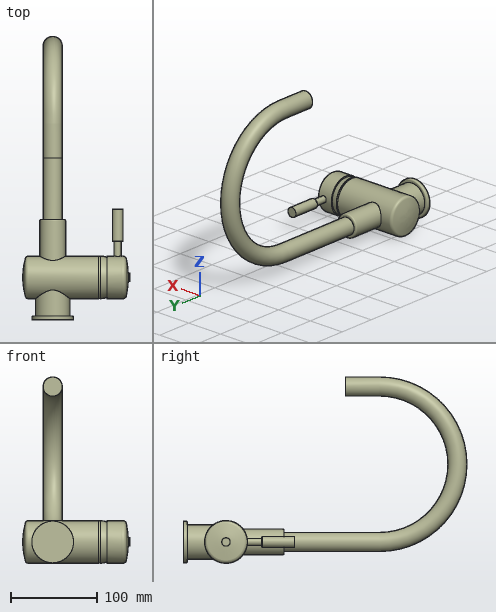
import cadquery as cq


BARREL_RADIUS = 49.8 / 2
END_RIM_RADIUS = 21.8
DOME_TIP_X = -35.0
DOME_RIM_X = -32.0
EDGE_START_X = -28.0

GROOVE_START_X = 53.5
GROOVE_END_X = 55.5
GROOVE_DEPTH = 0.15
NECK_START_X = 56.0
NECK_DROP = 1.5

CAP_START_X = 63.3
CAP_EDGE_X = 80.5
CAP_RIM_X = 85.7
CAP_TIP_X = 88.0
BUTTON_RADIUS = 5.0
BUTTON_END_X = 89.7
LEVER_X = 75.5
STEM_RADIUS = 4.3
GRIP_RADIUS = 12.5 / 2
GRIP_START_Y = 41.5
GRIP_END_Y = 79.5
GRIP_CHAMFER = 0.5

INLET_RADIUS = 20.0
FLANGE_RADIUS = 48.5 / 2
FLANGE_FACE_Y = -49.5
FLANGE_THICKNESS = 4.5
FLANGE_FILLET = 1.5
SLEEVE_RADIUS = 15.2
SLEEVE_END_Y = 67.5
SLEEVE_FILLET = 2.0

TUBE_RADIUS = 11.2
BEND_RADIUS = 90.3
BEND_START_Y = 178.7
OUTLET_LENGTH = 40.0


def rod_along_y(x, start_y, end_y, radius):
    """Round rod parallel to Y, at the height of the barrel axis."""
    plane = cq.Plane(origin=(x, start_y, 0), xDir=(1, 0, 0), normal=(0, 1, 0))
    return cq.Workplane(plane).circle(radius).extrude(end_y - start_y)


def turn_about_x(profile):
    """Turn a closed XY profile into a round solid about the X axis."""
    return profile.close().revolve(360, (0, 0, 0), (1, 0, 0))


def mid_dome(rim_x, tip_x):
    """Point halfway out on a shallow dome, where 3/4 of its rise is reached."""
    return (rim_x + 0.75 * (tip_x - rim_x), END_RIM_RADIUS / 2)


def mid_edge(start_x, rim_x):
    """Middle of the rounded edge between barrel and dome."""
    bulge = 0.7
    return (
        start_x + bulge * (rim_x - start_x),
        END_RIM_RADIUS + bulge * (BARREL_RADIUS - END_RIM_RADIUS),
    )


def make_barrel():
    neck_middle = ((NECK_START_X + CAP_START_X) / 2, BARREL_RADIUS - NECK_DROP / 4)
    profile = (
        cq.Workplane("XY")
        .moveTo(DOME_TIP_X, 0)
        .threePointArc(mid_dome(DOME_RIM_X, DOME_TIP_X), (DOME_RIM_X, END_RIM_RADIUS))
        .threePointArc(mid_edge(EDGE_START_X, DOME_RIM_X), (EDGE_START_X, BARREL_RADIUS))
        .lineTo(GROOVE_START_X, BARREL_RADIUS)
        .lineTo(GROOVE_START_X, BARREL_RADIUS - GROOVE_DEPTH)
        .lineTo(GROOVE_END_X, BARREL_RADIUS - GROOVE_DEPTH)
        .lineTo(GROOVE_END_X, BARREL_RADIUS)
        .lineTo(NECK_START_X, BARREL_RADIUS)
        .threePointArc(neck_middle, (CAP_START_X, BARREL_RADIUS - NECK_DROP))
        .lineTo(CAP_START_X, 0)
    )
    return turn_about_x(profile)


def make_flange():
    flange = rod_along_y(0, FLANGE_FACE_Y, FLANGE_FACE_Y + FLANGE_THICKNESS, FLANGE_RADIUS)
    return flange.faces(">Y").edges().fillet(FLANGE_FILLET)


def make_housing():
    inlet = rod_along_y(0, FLANGE_FACE_Y, 0, INLET_RADIUS)
    sleeve = rod_along_y(0, 0, SLEEVE_END_Y, SLEEVE_RADIUS)
    sleeve = sleeve.faces(">Y").edges().fillet(SLEEVE_FILLET)
    return make_barrel().union(inlet).union(make_flange()).union(sleeve)


def make_spout():
    """Tube that leaves the sleeve, turns back through a half circle and ends above."""
    outlet_y = BEND_START_Y - OUTLET_LENGTH
    path = (
        cq.Workplane("YZ")
        .moveTo(SLEEVE_END_Y, 0)
        .lineTo(BEND_START_Y, 0)
        .threePointArc((BEND_START_Y + BEND_RADIUS, BEND_RADIUS), (BEND_START_Y, 2 * BEND_RADIUS))
        .lineTo(outlet_y, 2 * BEND_RADIUS)
    )
    plane = cq.Plane(origin=(0, SLEEVE_END_Y, 0), xDir=(1, 0, 0), normal=(0, 1, 0))
    return cq.Workplane(plane).circle(TUBE_RADIUS).sweep(path)


def make_cap():
    profile = (
        cq.Workplane("XY")
        .moveTo(CAP_START_X, 0)
        .lineTo(CAP_START_X, BARREL_RADIUS)
        .lineTo(CAP_EDGE_X, BARREL_RADIUS)
        .threePointArc(mid_edge(CAP_EDGE_X, CAP_RIM_X), (CAP_RIM_X, END_RIM_RADIUS))
        .threePointArc(mid_dome(CAP_RIM_X, CAP_TIP_X), (CAP_TIP_X, 0))
    )
    return turn_about_x(profile)


def make_handle():
    button = (
        cq.Workplane("YZ", origin=(CAP_EDGE_X, 0, 0))
        .circle(BUTTON_RADIUS)
        .extrude(BUTTON_END_X - CAP_EDGE_X)
    )
    stem = rod_along_y(LEVER_X, 0, GRIP_START_Y, STEM_RADIUS)
    grip = rod_along_y(LEVER_X, GRIP_START_Y, GRIP_END_Y, GRIP_RADIUS)
    grip = grip.faces("<Y").edges().chamfer(GRIP_CHAMFER)
    return make_cap().union(button).union(stem).union(grip)


housing = make_housing()
spout = make_spout()
handle = make_handle()

result = cq.Compound.makeCompound([housing.val(), spout.val(), handle.val()])